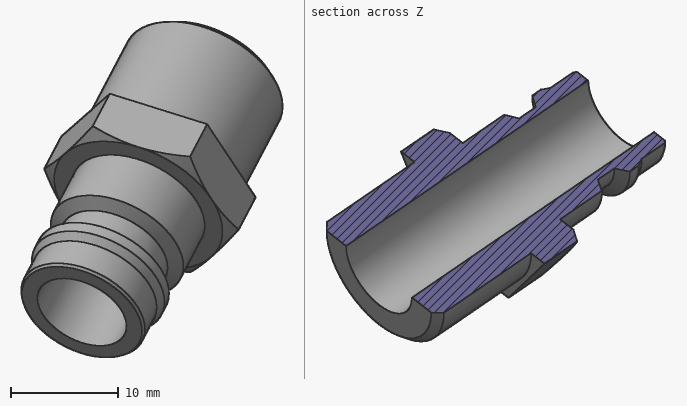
import cadquery as cq
import math

length = 31.0

bore_diameter = 9.0
tip_diameter = 12.5
body_diameter = 13.4
groove_diameter = 10.8
shank_diameter = 16.0

hex_sides = 6
hex_across_flats = 17.0
hex_start = 14.0
hex_end = 19.0
hex_chamfer_angle = 30.0

collar_taper_start = 3.2
collar_start = 4.03
collar_end = 5.15
groove_start = 5.92
groove_end = 8.0
body_start = 8.7

tip_chamfer = 0.28
tip_chamfer_depth = 0.2
shank_chamfer_length = 0.85
shank_chamfer_depth = 0.85


def revolve_about_y(profile):
    """Revolve a closed (radius, Y) outline around the Y axis."""
    return cq.Workplane("XY").polyline(profile).close().revolve(360, (0, 0, 0), (0, 1, 0))


def turned_body():
    """Stepped plug, groove and shank, solid through the middle."""
    tip_radius = tip_diameter / 2
    body_radius = body_diameter / 2
    groove_radius = groove_diameter / 2
    shank_radius = shank_diameter / 2
    return revolve_about_y([
        (0, 0),
        (tip_radius - tip_chamfer_depth, 0),
        (tip_radius, tip_chamfer),
        (tip_radius, collar_taper_start),
        (body_radius, collar_start),
        (body_radius, collar_end),
        (groove_radius, groove_start),
        (groove_radius, groove_end),
        (body_radius, body_start),
        (body_radius, hex_end),
        (shank_radius, hex_end),
        (shank_radius, length - shank_chamfer_length),
        (shank_radius - shank_chamfer_depth, length),
        (0, length),
    ])


def hexagon():
    """Hexagon with corners on X, its plug-side corners cut by a cone."""
    flat_radius = hex_across_flats / 2
    corner_radius = flat_radius / math.cos(math.radians(180 / hex_sides))
    cone_length = (corner_radius - flat_radius) * math.tan(math.radians(hex_chamfer_angle))
    prism = (
        cq.Workplane("XZ", origin=(0, hex_end, 0))
        .polygon(hex_sides, 2 * corner_radius)
        .extrude(hex_end - hex_start)
    )
    envelope = revolve_about_y([
        (0, hex_start),
        (flat_radius, hex_start),
        (corner_radius, hex_start + cone_length),
        (corner_radius, hex_end),
        (0, hex_end),
    ])
    return prism.intersect(envelope)


def bore():
    """Plain hole through the full length."""
    return cq.Workplane("XZ").circle(bore_diameter / 2).extrude(-length)


result = turned_body().union(hexagon()).cut(bore())